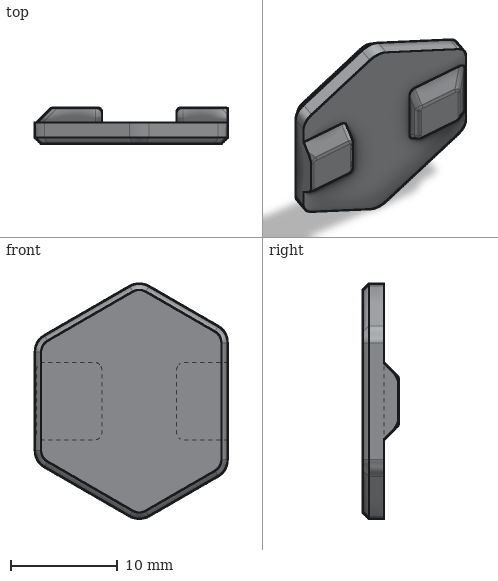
import cadquery as cq
import math

apothem = 9.8
trim_x = 8.3
plate_thickness = 2.0
corner_radius = 1.8
front_chamfer = 0.6

total_depth = 3.4
pad_height = total_depth - plate_thickness
pad_inner_x = 3.49
pad_outer_x = 9.63
pad_half_width = 3.62
pad_outer_fillet = 0.86
pad_inner_fillet = 0.6
pad_top_fillet = 0.49

circumradius = apothem / math.cos(math.radians(30))
trim_half_side = circumradius - trim_x * math.tan(math.radians(30))


def make_plate():
    """Rounded hexagonal plate, front face at Y = 0, chamfered around the front."""
    outline = [
        (0, circumradius),
        (trim_x, trim_half_side),
        (trim_x, -trim_half_side),
        (0, -circumradius),
        (-apothem, -circumradius / 2),
        (-apothem, circumradius / 2),
    ]
    plate = cq.Workplane("XZ").polyline(outline).close().extrude(-plate_thickness)
    plate = plate.edges("|Y").fillet(corner_radius)
    return plate.faces("<Y").chamfer(front_chamfer)


def pad_section(y, inset):
    """Rectangle at depth y, drawn in by inset on all but its inner side."""
    length = pad_outer_x - inset - pad_inner_x
    width = 2 * (pad_half_width - inset)
    center_x = -pad_inner_x - length / 2
    return cq.Sketch().rect(length, width).moved(cq.Location(cq.Vector(center_x, 0, -y)))


def make_pad():
    """Pad on the -X side: sides at 45 degrees, rounded slanted edges, rounded top rim."""
    base = pad_section(plate_thickness, 0)
    top = pad_section(total_depth, pad_height)
    pad = cq.Workplane("XZ").placeSketch(base, top).loft(ruled=True)
    pad = pad.edges("not(|X or |Z)").edges("<X").fillet(pad_outer_fillet)
    pad = pad.faces(">X").edges("not |Z").fillet(pad_inner_fillet)
    return pad.faces(">Y").edges().fillet(pad_top_fillet)


pad = make_pad()
trim_block = cq.Workplane("XY").box(
    pad_outer_x, total_depth, 2 * pad_half_width, centered=(False, False, True)
)
trim_block = trim_block.translate((trim_x, 0, 0))
trimmed_pad = pad.mirror("YZ").cut(trim_block)

result = make_plate().union(pad).union(trimmed_pad)